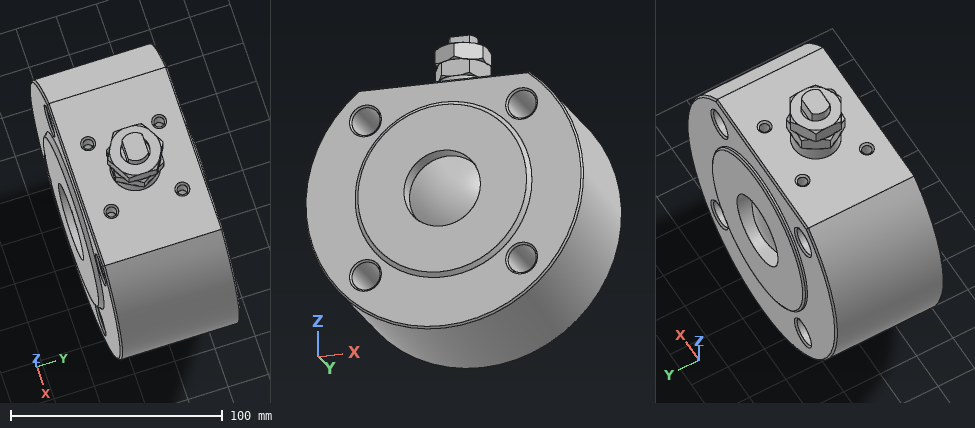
import cadquery as cq
import math


overall_height = 155.2
body_diameter = 138.8
body_thickness = 60.0
body_chamfer = 1.0
flat_height = 55.0
bore_diameter = 38.0
ball_diameter = 60.5

face_height = 2.0
front_face_diameter = 88.0
back_face_diameter = 86.0
back_face_chamfer = 1.0

bolt_hole_diameter = 14.0
bolt_hole_chamfer = 1.0
bolt_circle_diameter = 109.9

mount_hole_diameter = 5.0
mount_hole_mouth_diameter = 7.0
mount_hole_depth = 9.3
mount_circle_diameter = 50.0
drill_point_angle = 118.0

top_height = overall_height - body_diameter / 2
collar_diameter = 24.0
collar_height = 8.5
nut_across_flats = 24.0
nut_face_diameter = 24.5
nut_height = 8.2
nut_bevel_angle = 30.0
hexagon_half_step = 30.0
stem_diameter = 14.0
stem_across_flats = 10.1
stem_flat_sink = 2.3

half_thickness = body_thickness / 2
half_length = half_thickness + face_height


def cylinder_along_y(diameter, y_start, y_end):
    """Solid cylinder on the flow axis between two Y positions."""
    plane = cq.Workplane("XZ", origin=(0, y_start, 0))
    return plane.circle(diameter / 2).extrude(y_start - y_end)


def square_pattern(circle_diameter):
    """Four points at 45 degrees to the axes on a circle."""
    side = circle_diameter / math.sqrt(2)
    return cq.Workplane("XY").rect(side, side, forConstruction=True).vertices().vals()


def make_body():
    """Disc with a flat on top, chamfered around the rim of both sides."""
    disc = cylinder_along_y(body_diameter, -half_thickness, half_thickness)
    flat_plane = cq.Workplane("XY", origin=(0, 0, flat_height))
    above_flat = flat_plane.rect(body_diameter, body_thickness).extrude(body_diameter)
    return disc.cut(above_flat).faces("<Y or >Y").edges().chamfer(body_chamfer)


def make_sealing_faces():
    """Raised faces: a full-height bevel in front, a short rim with a smaller bevel behind."""
    front_radius = front_face_diameter / 2
    back_radius = back_face_diameter / 2
    profile = [
        (0, -half_length),
        (front_radius - face_height, -half_length),
        (front_radius, -half_thickness),
        (back_radius, -half_thickness),
        (back_radius, half_length - back_face_chamfer),
        (back_radius - back_face_chamfer, half_length),
        (0, half_length),
    ]
    return cq.Workplane("XY").polyline(profile).close().revolve(360, (0, 0, 0), (0, 1, 0))


def make_bolt_hole():
    """Cutter for one through bolt hole on the flow axis, widened at both mouths."""
    radius = bolt_hole_diameter / 2
    mouth_radius = radius + bolt_hole_chamfer
    profile = [
        (0, -half_thickness),
        (mouth_radius, -half_thickness),
        (radius, -half_thickness + bolt_hole_chamfer),
        (radius, half_thickness - bolt_hole_chamfer),
        (mouth_radius, half_thickness),
        (0, half_thickness),
    ]
    return cq.Workplane("XY").polyline(profile).close().revolve(360, (0, 0, 0), (0, 1, 0))


def make_mount_hole():
    """Cutter for one blind drilled hole with its countersunk mouth at Z = 0."""
    radius = mount_hole_diameter / 2
    mouth_radius = mount_hole_mouth_diameter / 2
    point_depth = radius / math.tan(math.radians(drill_point_angle / 2))
    profile = [
        (0, 0),
        (mouth_radius, 0),
        (radius, radius - mouth_radius),
        (radius, -mount_hole_depth),
        (0, -mount_hole_depth - point_depth),
    ]
    return cq.Workplane("XZ").polyline(profile).close().revolve(360, (0, 0, 0), (0, 1, 0))


def make_nut(z_bottom, turn):
    """Hexagon nut with its corners bevelled at both ends, turned about Z by an angle."""
    flat_radius = nut_across_flats / 2
    corner_radius = flat_radius / math.cos(math.radians(hexagon_half_step))
    face_radius = nut_face_diameter / 2
    bevel = (corner_radius - face_radius) * math.tan(math.radians(nut_bevel_angle))
    hexagon = cq.Workplane("XY").polygon(6, 2 * corner_radius).extrude(nut_height)
    profile = [
        (0, 0),
        (face_radius, 0),
        (corner_radius, bevel),
        (corner_radius, nut_height - bevel),
        (face_radius, nut_height),
        (0, nut_height),
    ]
    envelope = cq.Workplane("XZ").polyline(profile).close().revolve(360, (0, 0, 0), (0, 1, 0))
    nut = hexagon.intersect(envelope)
    return nut.rotate((0, 0, 0), (0, 0, 1), turn).translate((0, 0, z_bottom))


def make_stem():
    """Collar, two crossed nuts and the stem end with two flats facing front and back."""
    collar_top = flat_height + collar_height
    nuts_top = collar_top + 2 * nut_height
    collar = cq.Workplane("XY").circle(collar_diameter / 2).extrude(collar_top)
    lower_nut = make_nut(collar_top, 0)
    upper_nut = make_nut(collar_top + nut_height, hexagon_half_step)

    stem_end_base = cq.Workplane("XY", origin=(0, 0, nuts_top - stem_flat_sink))
    stem_end_height = top_height - nuts_top + stem_flat_sink
    stem_end = stem_end_base.circle(stem_diameter / 2).extrude(stem_end_height)
    stem_flats = stem_end_base.rect(stem_diameter, stem_across_flats).extrude(stem_end_height)
    collar_and_nuts = collar.union(lower_nut).union(upper_nut)
    return collar_and_nuts.cut(stem_end).union(stem_end.intersect(stem_flats))


result = make_body().union(make_sealing_faces()).union(make_stem())

result = result.cut(cylinder_along_y(bore_diameter, -half_length, half_length))
result = result.union(cq.Workplane("XY").sphere(ball_diameter / 2))

for point in square_pattern(bolt_circle_diameter):
    result = result.cut(make_bolt_hole().translate((point.X, 0, point.Y)))

for point in square_pattern(mount_circle_diameter):
    result = result.cut(make_mount_hole().translate((point.X, point.Y, flat_height)))